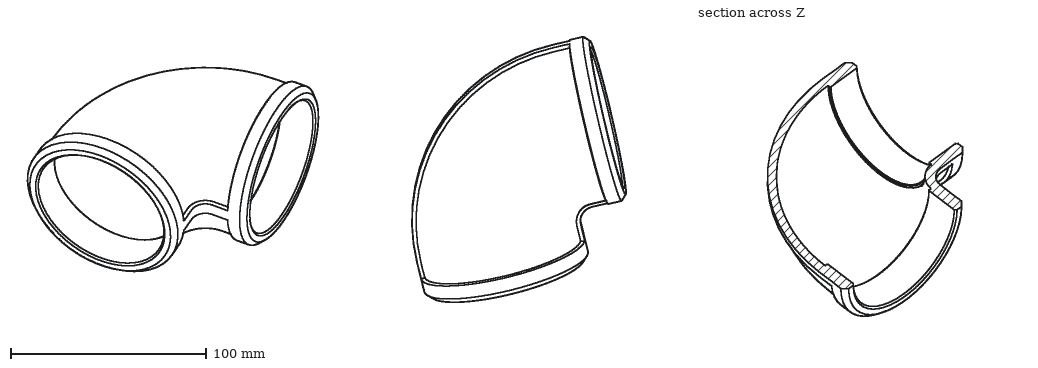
import cadquery as cq
leg_length = 69.5
bend_radius = 51.0
straight_length = leg_length - bend_radius
body_diameter = 82.5

collar_diameter = 86.5
collar_height = (collar_diameter - body_diameter) / 2
collar_length = 9.8
collar_chamfer = 2.8
collar_step_taper = 0.5

rib_width = 6.9
rib_taper = 0.4

trim_stock = 1.0

bore_diameter = 72.23
bore_chamfer = 1.0
inner_bore_chamfer = 0.5
socket_depth = 20.0

cavity_diameter = 75.5
cavity_bend_radius = leg_length - socket_depth
relief_diameter = 75.2
relief_pivot = 50.3
relief_bend_radius = 50.12


def on_both_legs(shape):
    """Join a solid on the -Y leg with its mirror image on the +X leg."""
    return shape.union(shape.mirror(cq.Vector(1, 1, 0)))


def leg_turning(outline):
    """Revolve a (radius, distance from mouth) outline about the -Y leg axis, on both legs."""
    points = [(distance - leg_length, radius) for radius, distance in outline]
    turned = cq.Workplane("YZ").polyline(points).close().revolve(360, (0, 0, 0), (1, 0, 0))
    return on_both_legs(turned)


def quarter_bend(section, pivot):
    """Turn a section lying in the plane y = -pivot by 90 degrees about the vertical axis at (pivot, -pivot)."""
    return section.revolve(90, (pivot, 1, 0), (pivot, 0, 0))


def leg_plane(distance):
    """Plane across the -Y leg, centred on the leg axis and facing the mouth."""
    return cq.Workplane("XZ", origin=(0, -distance, 0))


def body():
    """Solid bend with straight legs that end inside the collars."""
    section = leg_plane(bend_radius).circle(body_diameter / 2)
    legs = leg_plane(bend_radius).circle(body_diameter / 2).extrude(straight_length - collar_length / 2)
    return quarter_bend(section, bend_radius).union(on_both_legs(legs))


def rib_section(side):
    """Tapered rib profile from inside the body wall to past the crown; side is -1 or 1 along X."""
    crown_radius = collar_diameter / 2
    slope = rib_taper / collar_height
    root_radius = crown_radius - 1.5 * collar_height
    top_radius = crown_radius + trim_stock / 2
    root_half = rib_width / 2 + slope * (crown_radius - root_radius)
    top_half = rib_width / 2 - slope * (top_radius - crown_radius)
    return leg_plane(bend_radius).polyline([
        (side * root_radius, -root_half),
        (side * top_radius, -top_half),
        (side * top_radius, top_half),
        (side * root_radius, root_half),
    ]).close()


def rib(side):
    """Oversize rib along the inside (side 1) or outside (side -1) of the bend, ending inside the collars."""
    legs = rib_section(side).extrude(straight_length - collar_length / 2)
    return quarter_bend(rib_section(side), bend_radius).union(on_both_legs(legs))


def collars():
    """Oversize collars with a sloped step down to the body."""
    slope = collar_step_taper / collar_height
    step_end = collar_length + collar_step_taper
    return leg_turning([
        (0, 0),
        (collar_diameter / 2 + trim_stock, 0),
        (collar_diameter / 2 + trim_stock, collar_length - slope * trim_stock),
        (body_diameter / 2, step_end),
        (0, step_end),
    ])


def envelope():
    """Collar-sized bend with chamfered mouths; it trims collars and ribs to one flush surface."""
    radius = collar_diameter / 2
    legs = leg_turning([
        (0, 0),
        (radius - collar_chamfer, 0),
        (radius, collar_chamfer),
        (radius, straight_length),
        (0, straight_length),
    ])
    return quarter_bend(leg_plane(bend_radius).circle(radius), bend_radius).union(legs)


def socket_bores():
    """Straight bores from the mouths, chamfered at both ends."""
    bore_radius = bore_diameter / 2
    return leg_turning([
        (0, 0),
        (bore_radius + bore_chamfer, 0),
        (bore_radius, bore_chamfer),
        (bore_radius, socket_depth - inner_bore_chamfer),
        (bore_radius + inner_bore_chamfer, socket_depth),
        (0, socket_depth),
    ])


def bend_relief():
    """Slightly wider bend that hollows the inside of the turn, cut off at the socket ends."""
    section = leg_plane(relief_pivot).center(relief_pivot - relief_bend_radius, 0).circle(relief_diameter / 2)
    reach = 2 * leg_length
    between_sockets = cq.Workplane("XY").box(reach, reach, reach).translate(
        (cavity_bend_radius - reach / 2, reach / 2 - cavity_bend_radius, 0)
    )
    return quarter_bend(section, relief_pivot).intersect(between_sockets)


def cavity():
    """Bent hollow between the sockets, including the relief."""
    section = leg_plane(cavity_bend_radius).circle(cavity_diameter / 2)
    return quarter_bend(section, cavity_bend_radius).union(bend_relief())


outside = body().union(collars()).union(rib(1)).union(rib(-1)).intersect(envelope())
result = outside.cut(cavity()).cut(socket_bores())